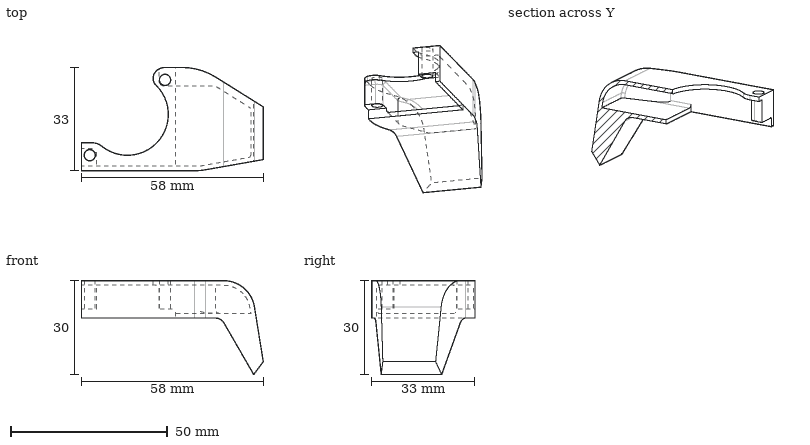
import cadquery as cq
import math

LENGTH = 57.99
WIDTH = 33.0
BODY_HEIGHT = 12.0
LEG_DROP = 18.0
WALL = 1.5
EDGE_FILLET = 1.0

HOLE_DIAMETER = 3.5
HOLE_PITCH = 24.0
LOW_HOLE = (2.65, 5.0)
HIGH_HOLE = (LOW_HOLE[0] + HOLE_PITCH, LOW_HOLE[1] + HOLE_PITCH)
LUG_RADIUS = 4.0
OPENING_RADIUS = 13.0
OPENING_CENTER = (LOW_HOLE[0] + HOLE_PITCH / 2, 18.0)
ARM_WIDTH = LOW_HOLE[1] + LUG_RADIUS
ARM_TIP_FILLET = 5.0
LUG_TIP_FILLET = 3.1

FRONT_TAPER = math.radians(10.0)
FRONT_TAPER_START_X = 37.75
REAR_TAPER = math.radians(32.0)
REAR_TAPER_START_X = 37.83
TAPER_BLEND_RADIUS = 20.0

BEND_RADIUS = 10.0
BEND_CENTER = (45.3, BODY_HEIGHT - BEND_RADIUS)
TIP_CORNER_Z = -13.85
TIP_POINT_X = 54.9
LEG_UNDERSIDE_ANGLE = math.radians(60.0)
UNDERSIDE_FILLET = 3.0

BOSS_OFFSET = 2.0
LOW_BOSS_OFFSET = 2.2
BOSS_CORNER_RADIUS = 2.0
REAR_WALL = 2.5
FLOOR_START_X = 30.0
BOSS_BOTTOM_Z = 3.0
MARGIN = 5.0


def box(x_range, y_range, z_range):
    """Box spanning the given (low, high) ranges."""
    size = [high - low for low, high in (x_range, y_range, z_range)]
    corner = (x_range[0], y_range[0], z_range[0])
    return cq.Workplane("XY").box(*size, centered=False).translate(corner)


def cylinder(center, radius):
    """Vertical cylinder through the full height of the body."""
    height = BODY_HEIGHT + 2 * MARGIN
    return cq.Workplane("XY").workplane(offset=-MARGIN).center(*center).circle(radius).extrude(height)


def front_taper_y(x):
    return (x - FRONT_TAPER_START_X) * math.tan(FRONT_TAPER)


def rear_taper_y(x):
    return WIDTH - (x - REAR_TAPER_START_X) * math.tan(REAR_TAPER)


def cavity_front_y(x):
    return front_taper_y(x) + WALL / math.cos(FRONT_TAPER)


def cavity_rear_y(x):
    return rear_taper_y(x) - REAR_WALL / math.cos(REAR_TAPER)


def near(x, y, z):
    """Selector for the edge whose center is closest to a point."""
    return cq.selectors.NearestToPointSelector((x, y, z))


def at(x, y):
    """Selector for the full-height vertical edge that passes closest to (x, y)."""
    return near(x, y, (BODY_HEIGHT - LEG_DROP) / 2)


def plan_solid():
    """Plan outline, extruded over the full height of the part."""
    outline = [
        (0, 0),
        (FRONT_TAPER_START_X, 0),
        (LENGTH, front_taper_y(LENGTH)),
        (LENGTH, rear_taper_y(LENGTH)),
        (REAR_TAPER_START_X, WIDTH),
        (HIGH_HOLE[0], WIDTH),
        HIGH_HOLE,
        OPENING_CENTER,
        (OPENING_CENTER[0], ARM_WIDTH),
        (0, ARM_WIDTH),
    ]
    height = BODY_HEIGHT + LEG_DROP
    plan = cq.Workplane("XY").workplane(offset=-LEG_DROP).polyline(outline).close().extrude(height)
    for x, y in ((FRONT_TAPER_START_X, 0), (REAR_TAPER_START_X, WIDTH)):
        plan = plan.edges("|Z").edges(at(x, y)).fillet(TAPER_BLEND_RADIUS)

    below = cq.Workplane("XY").workplane(offset=-LEG_DROP)
    lug = below.center(*HIGH_HOLE).circle(LUG_RADIUS).extrude(height)
    opening = below.center(*OPENING_CENTER).circle(OPENING_RADIUS).extrude(height)
    plan = plan.union(lug).cut(opening)

    arm_tip_x = OPENING_CENTER[0] - math.sqrt(OPENING_RADIUS**2 - (OPENING_CENTER[1] - ARM_WIDTH) ** 2)
    plan = plan.edges("|Z").edges(at(arm_tip_x, ARM_WIDTH)).fillet(ARM_TIP_FILLET)
    lug_tip = (HIGH_HOLE[0] - LUG_RADIUS, HIGH_HOLE[1])
    return plan.edges("|Z").edges(at(*lug_tip)).fillet(LUG_TIP_FILLET)


def leg_slope():
    """Angle from vertical of the leg's outer face, which leaves the bend tangentially."""
    dx = LENGTH - BEND_CENTER[0]
    dz = BEND_CENTER[1] - TIP_CORNER_Z
    return math.acos(BEND_RADIUS / math.hypot(dx, dz)) - math.atan2(dz, dx)


def bend_point(radius, angle):
    return (BEND_CENTER[0] + radius * math.cos(angle), BEND_CENTER[1] + radius * math.sin(angle))


def side_solid():
    """Side profile of body, bend and leg, extruded across the width."""
    slope = leg_slope()
    leg_root_x = TIP_POINT_X - LEG_DROP / math.tan(LEG_UNDERSIDE_ANGLE)
    side = (
        cq.Workplane("XZ")
        .moveTo(0, 0)
        .lineTo(0, BODY_HEIGHT)
        .lineTo(BEND_CENTER[0], BODY_HEIGHT)
        .threePointArc(bend_point(BEND_RADIUS, math.pi / 4), bend_point(BEND_RADIUS, slope))
        .lineTo(LENGTH, TIP_CORNER_Z)
        .lineTo(TIP_POINT_X, -LEG_DROP)
        .lineTo(leg_root_x, 0)
        .close()
        .extrude(-WIDTH)
    )
    return side.edges("|Y").edges(near(leg_root_x, WIDTH / 2, 0)).fillet(UNDERSIDE_FILLET)


ROOF_Z = BODY_HEIGHT - WALL
HIGH_BOSS_X = HIGH_HOLE[0] - BOSS_OFFSET
CAVITY_REAR_Y = HIGH_HOLE[1] - BOSS_OFFSET
REAR_TURN_X = REAR_TAPER_START_X + (cavity_rear_y(REAR_TAPER_START_X) - CAVITY_REAR_Y) / math.tan(REAR_TAPER)
FRONT_TURN_X = FRONT_TAPER_START_X - WALL * math.tan(FRONT_TAPER / 2)
CAVITY_BEND_RADIUS = BEND_RADIUS - WALL
CAVITY_BEND_MIDDLE = bend_point(CAVITY_BEND_RADIUS, math.pi / 4)
CAVITY_BEND_END = bend_point(CAVITY_BEND_RADIUS, leg_slope())


def cavity_plan():
    """Cavity outline seen from above, notched around the lug's screw boss."""
    outline = [
        (-MARGIN, WALL),
        (FRONT_TURN_X, WALL),
        (LENGTH, cavity_front_y(LENGTH)),
        (LENGTH, cavity_rear_y(LENGTH)),
        (REAR_TURN_X, CAVITY_REAR_Y),
        (HIGH_BOSS_X, CAVITY_REAR_Y),
        (HIGH_BOSS_X, WIDTH + MARGIN),
        (-MARGIN, WIDTH + MARGIN),
    ]
    plan = cq.Workplane("XY").polyline(outline).close().extrude(BODY_HEIGHT)
    boss_corner = near(HIGH_BOSS_X, CAVITY_REAR_Y, BODY_HEIGHT / 2)
    return plan.edges("|Z").edges(boss_corner).fillet(BOSS_CORNER_RADIUS)


def cavity_side():
    """Cavity profile across the width; its end keeps a constant wall inside the bend."""
    end_x, end_z = CAVITY_BEND_END
    floor_end_x = end_x + (end_z - WALL) * math.tan(leg_slope())
    return (
        cq.Workplane("XZ")
        .moveTo(-MARGIN, WALL)
        .lineTo(-MARGIN, ROOF_Z)
        .lineTo(BEND_CENTER[0], ROOF_Z)
        .threePointArc(CAVITY_BEND_MIDDLE, CAVITY_BEND_END)
        .lineTo(floor_end_x, WALL)
        .close()
        .extrude(-(WIDTH + MARGIN))
    )


def tapered_wall_edges(turn_x, wall_y):
    """Points on the roof, bend and end edges along one tapered cavity wall."""
    roof_x = (turn_x + BEND_CENTER[0]) / 2
    bend_x, bend_z = CAVITY_BEND_MIDDLE
    end_x, end_z = CAVITY_BEND_END
    return [
        (roof_x, wall_y(roof_x), ROOF_Z),
        (bend_x, wall_y(bend_x), bend_z),
        (end_x, wall_y(end_x), (end_z + WALL) / 2),
    ]


def cavity():
    """Hollow inside the body, rounded along its front and rear walls."""
    hollow = cavity_plan().intersect(cavity_side())
    rear_middle_x = (HIGH_HOLE[0] + REAR_TURN_X) / 2
    front_middle_x = FRONT_TURN_X / 2
    rounded_points = [
        (HIGH_BOSS_X, WIDTH, ROOF_Z),
        (HIGH_BOSS_X, CAVITY_REAR_Y, ROOF_Z),
        (rear_middle_x, CAVITY_REAR_Y, ROOF_Z),
        (rear_middle_x, CAVITY_REAR_Y, WALL),
        (front_middle_x, WALL, ROOF_Z),
        (front_middle_x, WALL, WALL),
    ]
    rounded_points += tapered_wall_edges(REAR_TURN_X, cavity_rear_y)
    rounded_points += tapered_wall_edges(FRONT_TURN_X, cavity_front_y)
    rounded_edges = [hollow.edges(near(*point)).val() for point in rounded_points]
    return hollow.newObject(rounded_edges).fillet(EDGE_FILLET)


def low_boss():
    """Boss below the screw hole at the end of the arm."""
    reach = LOW_HOLE[0] + LOW_BOSS_OFFSET
    boss = box((0, reach), (0, LOW_HOLE[1] + LOW_BOSS_OFFSET), (BOSS_BOTTOM_Z, BODY_HEIGHT))
    return boss.edges("|Z and >X and >Y").fillet(BOSS_CORNER_RADIUS)


def underside_clearance():
    """Open space below the bosses, in front of the cavity floor."""
    return box((-MARGIN, FLOOR_START_X), (WALL, WIDTH + MARGIN), (-MARGIN, BOSS_BOTTOM_Z))


result = plan_solid().intersect(side_solid())
result = result.cut(cavity()).union(low_boss()).cut(underside_clearance())
for hole in (LOW_HOLE, HIGH_HOLE):
    result = result.cut(cylinder(hole, HOLE_DIAMETER / 2))